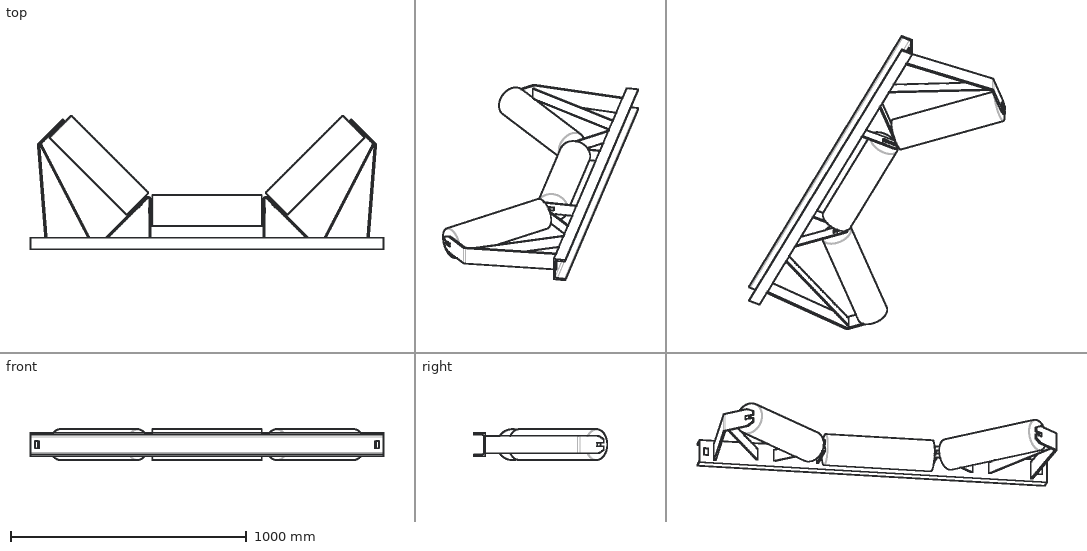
import cadquery as cq
import math

channel_length = 1500.0
channel_height = 100.0
channel_depth = 50.0
web_thickness = 6.0
flange_thickness = 8.5
root_radius = 8.5
tip_radius = 4.0
slot_width = 18.0
slot_height = 30.0
slot_end_distance = 29.0

roller_diameter = 133.0
roller_length = 465.0
rim_radius = 3.0
shaft_diameter = 20.0
shaft_flat_width = 14.0
end_gap = 6.0
tilt = 45.0
middle_roller_y = 115.0
side_roller_x = 459.0
side_roller_y = 307.73

inner_thickness = 6.0
inner_width = 50.0
inner_bend_radius = 12.0

outer_thickness = 8.0
outer_width = 75.0
outer_bend_radius = 12.0
outer_tip_height = 29.0
tip_cut_width = 14.0
tip_cut_length = 30.0
outer_bend_x = 719.0
outer_foot_x = 688.0

brace_thickness = 5.0
brace_width = 50.0
brace_foot_x = 499.0
brace_rise = 8.0

plate_face = roller_length / 2 + end_gap
outer_face = plate_face + outer_thickness
shaft_half_length = outer_face
slant = math.radians(tilt)


def tilted_point(along, lateral):
    """Point beside the left roller: `along` its axis (outwards), `lateral` across it (upwards)."""
    return (
        -side_roller_x - along * math.cos(slant) + lateral * math.sin(slant),
        side_roller_y + along * math.sin(slant) + lateral * math.cos(slant),
    )


def tilted_foot(along):
    """Where the line across the left roller axis at `along` meets the channel back."""
    _, y = tilted_point(along, 0)
    return tilted_point(along, -y / math.cos(slant))


def slab(points, width):
    """Outline in XY, extruded evenly to both sides of Z = 0."""
    return cq.Workplane("XY").polyline(points).close().extrude(width / 2, both=True)


def at_corner(point):
    """Selector for the edge along Z through an outline point."""
    return cq.selectors.NearestToPointSelector((*point, 0))


def mirrored(body):
    """The matching body on the +X side."""
    return body.mirror("YZ")


def make_channel():
    """Channel with rounded roots and flange tips and a slot at each end."""
    inside = channel_height - 2 * flange_thickness
    body = cq.Workplane("XY").box(channel_length, channel_depth, channel_height).translate(
        (0, -channel_depth / 2, 0)
    )
    cavity = (
        cq.Workplane("XY")
        .box(channel_length, channel_depth, inside)
        .edges("|X and >Y")
        .fillet(root_radius)
        .translate((0, -channel_depth / 2 - web_thickness, 0))
    )
    slot_x = channel_length / 2 - slot_end_distance
    slots = (
        cq.Workplane("XZ")
        .pushPoints([(-slot_x, 0), (slot_x, 0)])
        .rect(slot_width, slot_height)
        .extrude(channel_depth)
    )
    body = body.cut(cavity).cut(slots)
    inner_tips = cq.selectors.BoxSelector(
        (-channel_length, -channel_depth - tip_radius, -inside / 2 - tip_radius),
        (channel_length, -channel_depth + tip_radius, inside / 2 + tip_radius),
    )
    return body.edges("|X").edges(inner_tips).fillet(tip_radius)


def axial_bar(diameter, length):
    """Round bar along X, centred on the origin."""
    return cq.Workplane("YZ").workplane(offset=-length / 2).circle(diameter / 2).extrude(length)


def make_roller():
    """Roller along X about the origin, shaft flats facing +Z and -Z."""
    shell = axial_bar(roller_diameter, roller_length).edges("%CIRCLE").fillet(rim_radius)
    shaft = axial_bar(shaft_diameter, 2 * shaft_half_length)
    flats = cq.Workplane("XY").box(2 * shaft_half_length, shaft_diameter, shaft_flat_width)
    return shell.union(shaft.intersect(flats))


def make_inner_bracket():
    """Left inner bracket: upright post and slanted strut joined by a bend."""
    post_right = -plate_face
    post_left = post_right - inner_thickness
    upper_foot = tilted_foot(-plate_face)
    lower_foot = tilted_foot(-plate_face - inner_thickness)
    apex = (post_right, (post_right - upper_foot[0]) * math.tan(slant))
    crook = (post_left, (post_left - lower_foot[0]) * math.tan(slant))
    outline = [upper_foot, apex, (post_right, 0), (post_left, 0), crook, lower_foot]
    body = slab(outline, inner_width)
    body = body.edges(at_corner(apex)).fillet(inner_bend_radius)
    body = body.edges(at_corner(crook)).fillet(inner_bend_radius - inner_thickness)
    seat = shaft_diameter / 2
    post_seat = middle_roller_y - seat
    cutter = [
        tilted_point(-plate_face, -seat),
        tilted_point(-plate_face - inner_thickness, -seat),
        (post_left, post_seat),
        (post_right, post_seat),
        apex,
    ]
    return body.cut(slab(cutter, shaft_flat_width))


def offset_line(start, end, distance):
    """The line from start to end moved to its right-hand side."""
    length = math.hypot(end[0] - start[0], end[1] - start[1])
    dx = (end[1] - start[1]) / length * distance
    dy = -(end[0] - start[0]) / length * distance
    return (start[0] + dx, start[1] + dy), (end[0] + dx, end[1] + dy)


def x_at(line, y):
    """X where the line reaches height y."""
    (x0, y0), (x1, y1) = line
    return x0 + (x1 - x0) * (y - y0) / (y1 - y0)


def outer_corners():
    """Outside corner of the outer bracket bend, height of its inside corner and inner line of the leg."""
    origin = tilted_point(outer_face, 0)
    outside = (-outer_bend_x, origin[1] - (origin[0] + outer_bend_x) * math.tan(slant))
    foot = (-outer_foot_x, 0)
    leg_inside = offset_line(foot, outside, outer_thickness)
    turn = slant + math.atan2(outer_bend_x - outer_foot_x, outside[1])
    step = outer_thickness * math.tan(turn / 2)
    inside_lateral = (outside[0] - origin[0]) / math.sin(slant) + step
    return outside, inside_lateral, leg_inside


def make_outer_bracket():
    """Left outer bracket: leg, bend and slotted upper plate."""
    outside, inside_lateral, leg_inside = outer_corners()
    inside = tilted_point(plate_face, inside_lateral)
    outline = [
        tilted_point(outer_face, outer_tip_height),
        outside,
        (-outer_foot_x, 0),
        (x_at(leg_inside, 0), 0),
        inside,
        tilted_point(plate_face, outer_tip_height),
    ]
    body = slab(outline, outer_width)
    body = body.edges(at_corner(outside)).fillet(outer_bend_radius)
    body = body.edges(at_corner(inside)).fillet(outer_bend_radius - outer_thickness)
    corner_plane = cq.Plane(
        origin=(*tilted_point(plate_face, outer_tip_height), 0),
        xDir=(0, 0, 1),
        normal=(-math.cos(slant), math.sin(slant), 0),
    )
    for side in (-1, 1):
        edge = side * outer_width / 2
        corner = (
            cq.Workplane(corner_plane)
            .polyline([(edge, 0), (edge - side * tip_cut_width, 0), (edge, -tip_cut_length)])
            .close()
            .extrude(outer_thickness)
        )
        body = body.cut(corner)
    seat = -shaft_diameter / 2
    slot = [
        tilted_point(outer_face, seat),
        tilted_point(plate_face, seat),
        tilted_point(plate_face, outer_tip_height),
        tilted_point(outer_face, outer_tip_height),
    ]
    return body.cut(slab(slot, shaft_flat_width))


def make_brace():
    """Flat bar from the outer bracket bend to the channel, trimmed to the bracket."""
    _, inside_lateral, _ = outer_corners()
    top = tilted_point(plate_face, inside_lateral + brace_rise)
    foot = (-brace_foot_x, 0)
    under = offset_line(foot, top, -brace_thickness)
    outline = [top, foot, (x_at(under, 0), 0), under[1]]
    return slab(outline, brace_width).cut(make_outer_bracket())


channel = make_channel()
middle_roller = make_roller().translate((0, middle_roller_y, 0))
left_roller = (
    make_roller().rotate((0, 0, 0), (0, 0, 1), -tilt).translate((-side_roller_x, side_roller_y, 0))
)
left_bodies = [left_roller, make_inner_bracket(), make_outer_bracket(), make_brace()]

solids = [channel.val(), middle_roller.val()]
for body in left_bodies:
    solids.append(body.val())
    solids.append(mirrored(body).val())
result = cq.Compound.makeCompound(solids)